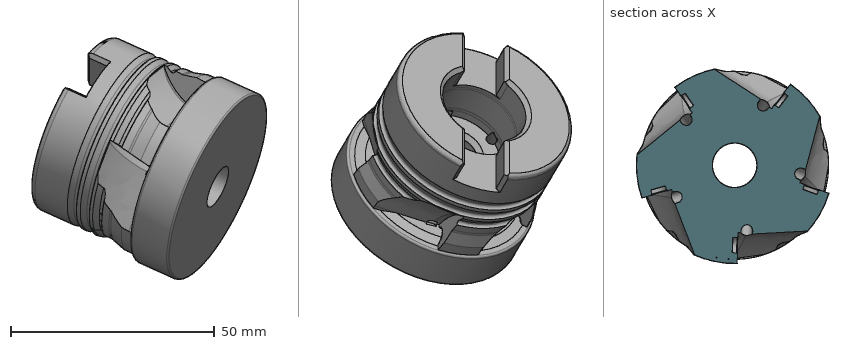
import cadquery as cq
import math

length = 40.05
flange_radius = 25.0
flange_start = 29.25
flange_front_round = 0.6
flange_back_round = 0.45

body_radius = 23.15
nose_round_length = 1.4
nose_round_height = 1.0
groove_starts = (10.55, 14.2, 17.7)
groove_width = 2.55
groove_depth = 0.75
groove_slope_length = 1.45
cone_start = 22.6
cone_end = 26.4
cone_blend = 0.3
cone_end_radius = 24.2

bore_radius = 11.05
bore_chamfer = 1.05
narrow_bore_radius = 10.95
narrow_start = 7.25
narrow_end = 15.0
narrow_entry_length = 0.4
narrow_exit_length = 1.0
bore_floor = 18.0
through_radius = 5.45
through_chamfer = 1.2

slot_half_width = 5.25
slot_depth = 6.3
slot_chamfer = 1.0

flute_count = 5
flute_start = 16.9
flute_mid = 22.5
flute_end = 28.4
flute_end_rim_radius = 23.0
flute_end_flat_radius = 20.5
flute_floor_angle = 57.0
floor_wall_heights = (23.7, 19.4, 17.1)
floor_far_heights = (20.15, 17.6, 17.1)
floor_wall_reach = 10.0
flute_wall_angle = 52.0
flute_wall_offset = 1.7
flute_wall_slant = 1.95
corner_angle = 40.0
corner_heights = (22.5, 17.8, 15.8)
recess_radius = 2.3
recess_chamfer = 0.5
recess_depth = 1.5
recess_x = 29.45
recess_height = 19.65
hole_radius = 1.4
hole_entry = (bore_floor, 3.5, 10.4)
hole_direction = (22.5, 8.2, 10.2)
hole_length = 14.0
hole_lead = 1.5

clearance = 30.0


def turned_body():
    """Solid of revolution with the nose, three grooves, the cone and the flange."""
    nose_arc_radius = (nose_round_length**2 + nose_round_height**2) / (2 * nose_round_height)
    nose_half_angle = math.asin(nose_round_length / nose_arc_radius) / 2
    nose_round_middle = (
        nose_round_length - nose_arc_radius * math.sin(nose_half_angle),
        body_radius - nose_arc_radius * (1 - math.cos(nose_half_angle)),
    )
    profile = (
        cq.Workplane("XY")
        .moveTo(0, 0)
        .lineTo(0, body_radius - nose_round_height)
        .threePointArc(nose_round_middle, (nose_round_length, body_radius))
    )
    for start in groove_starts:
        bottom = (start + groove_slope_length, body_radius - groove_depth)
        profile = (
            profile.lineTo(start, body_radius)
            .lineTo(*bottom)
            .tangentArcPoint((start + groove_width, body_radius), relative=False)
        )
    cone_angle = math.atan2(cone_end_radius - body_radius, cone_end - cone_start)
    cone_blend_end = (
        cone_start + cone_blend * math.cos(cone_angle),
        body_radius + cone_blend * math.sin(cone_angle),
    )
    body = (
        profile.lineTo(cone_start - cone_blend, body_radius)
        .tangentArcPoint(cone_blend_end, relative=False)
        .lineTo(cone_end, cone_end_radius)
        .lineTo(flange_start, cone_end_radius)
        .lineTo(flange_start, flange_radius)
        .lineTo(length, flange_radius)
        .lineTo(length, 0)
        .close()
        .revolve(360, (0, 0, 0), (1, 0, 0))
    )
    rims = body.edges(cq.selectors.RadiusNthSelector(-1))
    body = rims.edges("<X").fillet(flange_front_round)
    rims = body.faces(">X").edges(cq.selectors.RadiusNthSelector(-1))
    return rims.fillet(flange_back_round)


def bore():
    """Stepped bore from the nose with a chamfered through hole in its floor."""
    points = [
        (0, 0),
        (0, bore_radius + bore_chamfer),
        (bore_chamfer, bore_radius),
        (narrow_start, bore_radius),
        (narrow_start + narrow_entry_length, narrow_bore_radius),
        (narrow_end, narrow_bore_radius),
        (narrow_end + narrow_exit_length, bore_radius),
        (bore_floor, bore_radius),
        (bore_floor, through_radius + through_chamfer),
        (bore_floor + through_chamfer, through_radius),
        (length, through_radius),
        (length, 0),
    ]
    return cq.Workplane("XY").polyline(points).close().revolve(360, (0, 0, 0), (1, 0, 0))


def slot():
    """Slot along Z whose edges on the nose, bore and outer surface are chamfered."""
    wide = slot_half_width + slot_chamfer
    outer_z = math.sqrt(body_radius**2 - wide**2)
    bore_z = math.sqrt(bore_radius**2 - wide**2)
    flare = clearance - outer_z
    half_outline = [
        (wide, 0),
        (wide, bore_z),
        (slot_half_width, bore_z + slot_chamfer),
        (slot_half_width, outer_z - slot_chamfer),
        (wide + flare, clearance),
    ]
    mirrored = [(-y, z) for y, z in reversed(half_outline)]
    upper = cq.Workplane("YZ").polyline(half_outline + mirrored).close().extrude(slot_depth)
    lower = upper.mirror("XY")
    mouth = (
        cq.Workplane("XY")
        .polyline([(0, -wide), (slot_chamfer, -slot_half_width), (slot_chamfer, slot_half_width), (0, wide)])
        .close()
        .extrude(clearance, both=True)
    )
    return upper.union(lower).union(mouth)


def turned_to(solid, angle):
    """Turn a solid about X so that its +Z direction lies at this angle from +Y towards +Z."""
    return solid.rotate((0, 0, 0), (1, 0, 0), angle - 90)


def trough(base, heights):
    """Add a flute side outline to a plane: a hollow curve that levels out towards the flange."""
    start_height, mid_height, end_height = heights
    return (
        base.moveTo(flute_start, clearance)
        .lineTo(flute_start, start_height)
        .threePointArc((flute_mid, mid_height), (flute_end, end_height))
        .lineTo(flange_start, end_height)
        .lineTo(flange_start, clearance)
        .close()
    )


def flute():
    """One flute: a twisted floor, a deeper corner strip and a slanted wall with a round recess."""
    wall_end = trough(cq.Workplane("XZ", origin=(0, floor_wall_reach, 0)), floor_wall_heights)
    far_end = trough(wall_end.workplane(offset=floor_wall_reach + clearance), floor_far_heights)
    floor_cut = turned_to(far_end.loft(ruled=True), flute_floor_angle)
    corner_cut = trough(cq.Workplane("XZ"), corner_heights).extrude(clearance, both=True)
    corner_cut = turned_to(corner_cut, corner_angle)
    wall_side = (
        cq.Workplane("XY")
        .moveTo(flute_start, -flute_wall_offset + flute_wall_slant)
        .lineTo(flange_start, -flute_wall_offset)
        .lineTo(flange_start, -clearance)
        .lineTo(flute_start, -clearance)
        .close()
        .extrude(2 * clearance)
    )
    recess = (
        cq.Workplane("XZ", origin=(recess_x, recess_depth - flute_wall_offset, recess_height))
        .circle(recess_radius)
        .extrude(recess_depth)
        .faces("<Y")
        .workplane()
        .circle(recess_radius + recess_chamfer)
        .workplane(offset=-recess_chamfer)
        .circle(recess_radius)
        .loft(ruled=True)
    )
    reach = (
        cq.Workplane("XY")
        .polyline(
            [
                (0, 0),
                (flute_end, 0),
                (flute_end, flute_end_flat_radius),
                (flange_start, flute_end_rim_radius),
                (flange_start, clearance),
                (0, clearance),
            ]
        )
        .close()
        .revolve(360, (0, 0, 0), (1, 0, 0))
    )
    cut = floor_cut.union(corner_cut).intersect(turned_to(wall_side, flute_wall_angle))
    return cut.union(turned_to(recess, flute_wall_angle)).intersect(reach)


def coolant_hole():
    """Slanted hole from the bore floor into the corner of the flute."""
    axis = cq.Vector(*hole_direction).normalized()
    start = cq.Vector(*hole_entry) - axis * hole_lead
    return cq.Workplane(cq.Solid.makeCylinder(hole_radius, hole_length, start, axis))


result = turned_body()
flute_cut = flute()
hole_cut = coolant_hole()
for index in range(flute_count):
    turn = index * 360 / flute_count
    result = result.cut(flute_cut.rotate((0, 0, 0), (1, 0, 0), turn))
    result = result.cut(hole_cut.rotate((0, 0, 0), (1, 0, 0), turn))
result = result.cut(bore()).cut(slot())